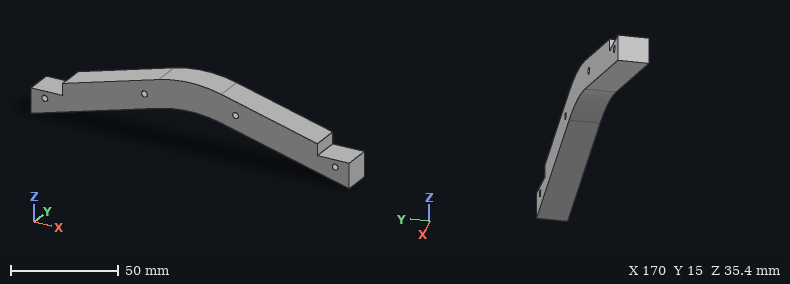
import cadquery as cq
import math

length = 170.0
width = 15.0
height = 35.4
arm_angle = math.radians(15)
band_thickness = 15.0
top_radius = 64.6
bottom_radius = 64.6
end_height = 13.3
step_length = 17.0
hole_diameter = 3.0
hole_places = [(77.5, 9.5), (24.3, 24.0)]

half_length = length / 2
slope = math.tan(arm_angle)


def bend_tangent(apex_height, radius):
    """Right-hand point where an arc with the given apex meets the sloping arm."""
    drop = radius * (1 - math.cos(arm_angle))
    return radius * math.sin(arm_angle), apex_height - drop


def mirrored(point):
    return -point[0], point[1]


top_apex = (0, height)
bottom_apex = (0, height - band_thickness)
top_tangent = bend_tangent(height, top_radius)
bottom_tangent = bend_tangent(height - band_thickness, bottom_radius)
end_bottom = (half_length, 0)
end_top = (half_length, end_height)
step_x = half_length - step_length
step_bottom = (step_x, end_height)
step_top = (step_x, top_tangent[1] - slope * (step_x - top_tangent[0]))

bar = (
    cq.Workplane("XZ")
    .moveTo(*mirrored(end_bottom))
    .lineTo(*mirrored(bottom_tangent))
    .threePointArc(bottom_apex, bottom_tangent)
    .lineTo(*end_bottom)
    .lineTo(*end_top)
    .lineTo(*step_bottom)
    .lineTo(*step_top)
    .lineTo(*top_tangent)
    .threePointArc(top_apex, mirrored(top_tangent))
    .lineTo(*mirrored(step_top))
    .lineTo(*mirrored(step_bottom))
    .lineTo(*mirrored(end_top))
    .close()
    .extrude(width / 2, both=True)
)

hole_points = hole_places + [mirrored(place) for place in hole_places]
holes = (
    cq.Workplane("XZ")
    .pushPoints(hole_points)
    .circle(hole_diameter / 2)
    .extrude(width, both=True)
)

result = bar.cut(holes)